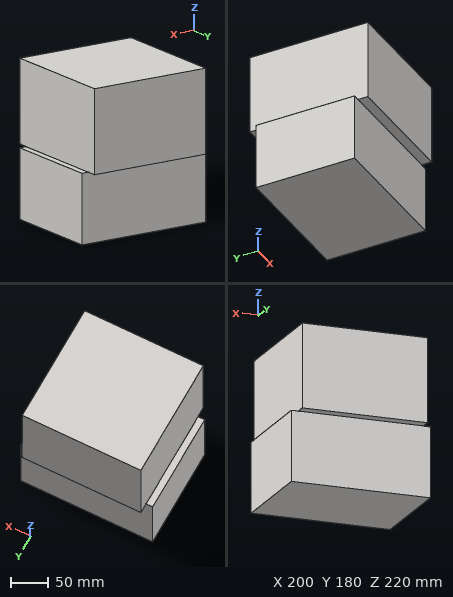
import cadquery as cq

total_height = 220.0

base_length = 200.0
base_width = 150.0
base_height = 100.0

top_side = 180.0
top_height = total_height - base_height


def block(length, width, height, bottom_z):
    """Box centred on the Z axis, standing on the level bottom_z."""
    return (
        cq.Workplane("XY")
        .workplane(offset=bottom_z)
        .box(length, width, height, centered=(True, True, False))
    )


base_block = block(base_length, base_width, base_height, 0)
top_block = block(top_side, top_side, top_height, base_height)

result = cq.Compound.makeCompound([base_block.val(), top_block.val()])